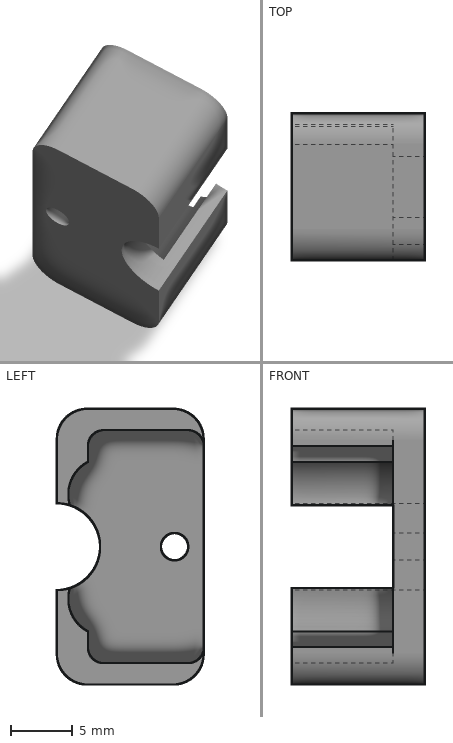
import cadquery as cq

length_x = 10.92
depth_y = 12.05
height_z = 22.6
outer_radius = 2.53

end_plate = 2.6
top_wall = 1.76
back_wall = 2.55
cavity_radius = 1.31

relief_radius = 3.0
relief_wall = 0.95
relief_offset_z = 4.27

notch_radius = 3.55
hole_radius = 1.1
hole_from_front = 2.4

front_y = -depth_y / 2
back_y = depth_y / 2
open_x = -length_x / 2
cavity_length = length_x - end_plate


def rounded_bar(start_x, length, y_min, y_max, height, radius):
    """Bar along X with its four long edges rounded."""
    width = y_max - y_min
    return (
        cq.Workplane("YZ", origin=(start_x, 0, 0))
        .center((y_min + y_max) / 2, 0)
        .rect(width, height)
        .extrude(length)
        .edges("|X")
        .fillet(radius)
    )


def cylinder_along_x(y, z, radius, length):
    """Cylinder starting at the open end and running towards +X."""
    return cq.Workplane("YZ", origin=(open_x, y, z)).circle(radius).extrude(length)


body = rounded_bar(open_x, length_x, front_y, back_y, height_z, outer_radius)

cavity = rounded_bar(
    open_x, cavity_length, front_y, back_y - back_wall, height_z - 2 * top_wall, cavity_radius
)
body = body.cut(cavity)

relief_y = back_y - relief_wall - relief_radius
for side in (-1, 1):
    body = body.cut(cylinder_along_x(relief_y, side * relief_offset_z, relief_radius, cavity_length))

body = body.cut(cylinder_along_x(back_y, 0, notch_radius, length_x))
result = body.cut(cylinder_along_x(front_y + hole_from_front, 0, hole_radius, length_x))